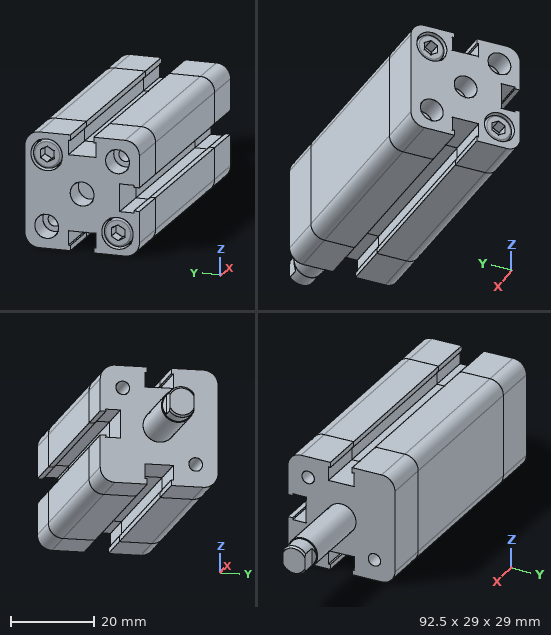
import cadquery as cq


TOTAL_LENGTH = 92.5
PROFILE_WIDTH = 29.0
CORNER_RADIUS = 3.6
SLOT_MOUTH_WIDTH = 5.9
SLOT_WIDTH = 6.9
SLOT_DEPTH = 5.0
SLOT_LIP = 1.4
SLOT_TURNS = (0, 90, 180)

BODY_LENGTH = 68.0
CAP_LENGTH = 12.0
BARREL_LENGTH = BODY_LENGTH - 2 * CAP_LENGTH
FRONT_CAP_START = BODY_LENGTH - CAP_LENGTH

HOLE_OFFSET = 9.0
THROUGH_DIAMETER = 3.3
LOCATING_DIAMETER = 6.0
LOCATING_DEPTH = 6.0
OPEN_CORNERS = ((-HOLE_OFFSET, HOLE_OFFSET), (HOLE_OFFSET, -HOLE_OFFSET))
SCREW_CORNERS = ((HOLE_OFFSET, HOLE_OFFSET), (-HOLE_OFFSET, -HOLE_OFFSET))

HEAD_RECESS_DIAMETER = 8.0
HEAD_DIAMETER = 7.2
HEAD_FILLET = 0.5
HEAD_SINK = 0.5
HEAD_RECESS_DEPTH = 4.4
SOCKET_WIDTH = 3.4
SOCKET_DEPTH = 3.3

ROD_DIAMETER = 8.0
TIP_DIAMETER = 7.6
TIP_LENGTH = 4.7
TIP_CHAMFER = 0.5
FLATS_WIDTH = 5.9
FLATS_LENGTH = 3.6


def axial_cylinder(diameter, start, length, center=(0, 0)):
    """Cylinder parallel to X, with its centre given as (Y, Z)."""
    return (
        cq.Workplane("YZ", origin=(start, 0, 0))
        .center(*center)
        .circle(diameter / 2)
        .extrude(length)
    )


def t_slot(start, length):
    """Cutter for the undercut slot that opens on the top side."""
    top = PROFILE_WIDTH / 2
    section = cq.Workplane("YZ", origin=(start, 0, 0))
    mouth = section.center(0, top - SLOT_DEPTH / 2).rect(SLOT_MOUTH_WIDTH, SLOT_DEPTH).extrude(length)
    undercut_height = SLOT_DEPTH - SLOT_LIP
    undercut_center = top - SLOT_DEPTH + undercut_height / 2
    section = cq.Workplane("YZ", origin=(start, 0, 0))
    undercut = section.center(0, undercut_center).rect(SLOT_WIDTH, undercut_height).extrude(length)
    return mouth.union(undercut)


def profile_section(start, length):
    """Length of slotted profile with the two open corner holes."""
    section = (
        cq.Workplane("YZ", origin=(start, 0, 0))
        .rect(PROFILE_WIDTH, PROFILE_WIDTH)
        .extrude(length)
        .edges("|X")
        .fillet(CORNER_RADIUS)
    )
    for turn in SLOT_TURNS:
        section = section.cut(t_slot(start, length).rotate((0, 0, 0), (1, 0, 0), turn))
    for corner in OPEN_CORNERS:
        section = section.cut(axial_cylinder(THROUGH_DIAMETER, start, length, corner))
    return section


def screw_head(corner):
    """Rounded socket screw head that stands on the floor of its recess."""
    head = axial_cylinder(HEAD_DIAMETER, HEAD_SINK, HEAD_RECESS_DEPTH - HEAD_SINK, corner)
    head = head.faces("<X").edges().fillet(HEAD_FILLET)
    socket = (
        cq.Workplane("YZ", origin=(HEAD_SINK, 0, 0))
        .center(*corner)
        .polygon(6, SOCKET_WIDTH, circumscribed=True)
        .extrude(SOCKET_DEPTH)
    )
    return head.cut(socket)


def make_rear_cap():
    cap = profile_section(0, CAP_LENGTH)
    for center in (*OPEN_CORNERS, (0, 0)):
        cap = cap.cut(axial_cylinder(LOCATING_DIAMETER, 0, LOCATING_DEPTH, center))
    for corner in SCREW_CORNERS:
        cap = cap.cut(axial_cylinder(HEAD_RECESS_DIAMETER, 0, HEAD_RECESS_DEPTH, corner))
        cap = cap.union(screw_head(corner))
    return cap


def make_barrel():
    return profile_section(CAP_LENGTH, BARREL_LENGTH)


def make_front_cap():
    return profile_section(FRONT_CAP_START, CAP_LENGTH)


def make_piston_rod():
    """Rod with a reduced, chamfered tip that carries two wrench flats."""
    rod_radius = ROD_DIAMETER / 2
    tip_radius = TIP_DIAMETER / 2
    shoulder = TOTAL_LENGTH - TIP_LENGTH
    rod = (
        cq.Workplane("XZ")
        .moveTo(BODY_LENGTH, 0)
        .lineTo(BODY_LENGTH, rod_radius)
        .lineTo(shoulder, rod_radius)
        .lineTo(shoulder + rod_radius - tip_radius, tip_radius)
        .lineTo(TOTAL_LENGTH - TIP_CHAMFER, tip_radius)
        .lineTo(TOTAL_LENGTH, tip_radius - TIP_CHAMFER)
        .lineTo(TOTAL_LENGTH, 0)
        .close()
        .revolve(360, (0, 0, 0), (1, 0, 0))
    )
    flat_start = TOTAL_LENGTH - FLATS_LENGTH
    flat_height = FLATS_WIDTH / 2
    runout = tip_radius - flat_height
    flat_cutter = (
        cq.Workplane("XY")
        .moveTo(TOTAL_LENGTH, flat_height)
        .lineTo(flat_start, flat_height)
        .lineTo(flat_start - runout, tip_radius)
        .lineTo(TOTAL_LENGTH, tip_radius)
        .close()
        .extrude(tip_radius, both=True)
    )
    return rod.cut(flat_cutter).cut(flat_cutter.mirror("XZ"))


rear_cap = make_rear_cap()
barrel = make_barrel()
front_cap = make_front_cap()
piston_rod = make_piston_rod()

result = cq.Compound.makeCompound([rear_cap.val(), barrel.val(), front_cap.val(), piston_rod.val()])